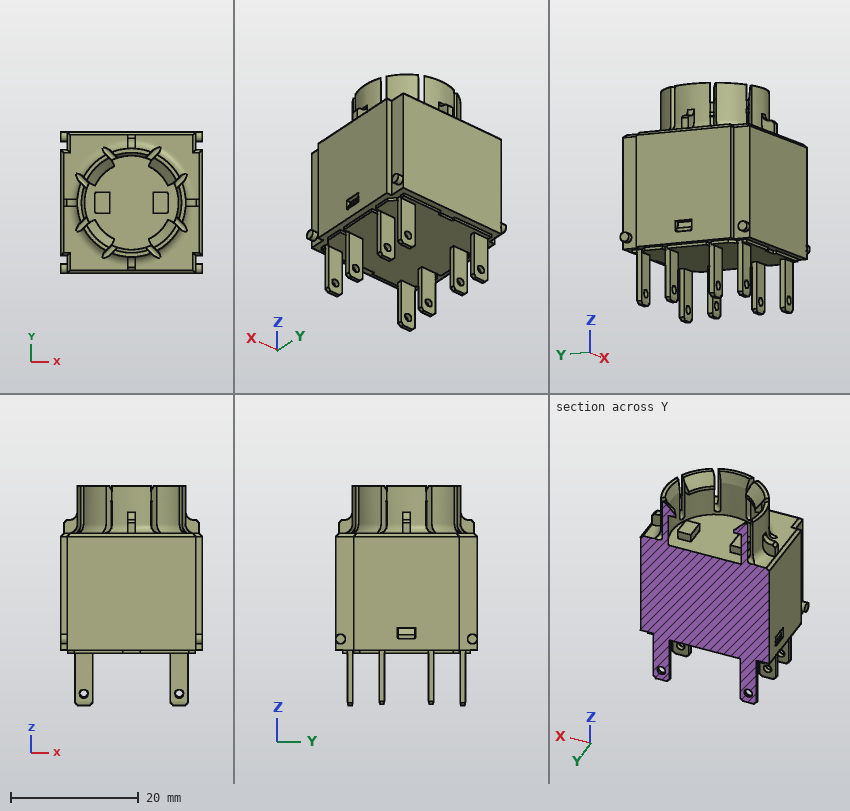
import cadquery as cq
import math

total_height = 34.45
housing_width = 22.2
housing_height = 18.3
edge_chamfer = 0.48
corner_notch_x = 1.0
corner_notch_y = 2.8

collar_height = 7.48
collar_radius = 8.5
bore_radius = 14.7 / 2
bore_sink = 0.5
root_fillet = 1.45
mouth_radius = 7.85
mouth_depth = 1.85
slot_width = 0.93
slot_offset = 2.95

tab_radius = 6.3
tab_lip_height = 0.55
tab_angle = 40.0

rib_width = 1.1
rib_height = 2.15
rib_fillet = 1.2

block_inner_x = 3.4
block_outer_x = 5.75
block_width = 3.3
block_height = 1.35
block_corner = 0.35

pin_diameter = 1.5
pin_height = 1.75

window_width = 2.82
window_height = 1.72
window_bottom = 1.83
window_corner = 0.25
window_depth = 0.8
latch_gap = 0.15
latch_inset = 0.25
latch_flat_height = 0.6

plate_width = 19.98
plate_thickness = 0.48
plate_chamfer = 1.0
plate_notch_width = 2.8
plate_notch_depth = 0.48

blade_width = 2.82
blade_thickness = 0.85
blade_x = 7.48
outer_blade_y = 8.82
inner_blade_y = 3.85
inner_blade_rise = 0.2
blade_hole_diameter = 1.3
blade_hole_above_tip = 1.83
blade_bevel_height = 0.62
blade_corner_chamfer = 0.48
blade_bevel_depth = 0.15

half_width = housing_width / 2
collar_top = housing_height + collar_height
blade_tip_z = collar_top - total_height
bore_floor = housing_height - bore_sink
rib_reach = half_width - edge_chamfer


def box_between(x_range, y_range, z_range):
    """Box spanning the given (low, high) ranges."""
    size = [high - low for low, high in (x_range, y_range, z_range)]
    corner = (x_range[0], y_range[0], z_range[0])
    return cq.Workplane("XY").box(*size, centered=False).translate(corner)


def revolve_profile(profile):
    """Turn a closed XZ profile around the Z axis."""
    return profile.close().revolve(360, (0, 0, 0), (0, 1, 0))


def make_housing():
    block = cq.Workplane("XY").rect(housing_width, housing_width).extrude(housing_height)
    notches = (
        cq.Workplane("XY")
        .rect(housing_width, housing_width, forConstruction=True)
        .vertices()
        .rect(2 * corner_notch_x, 2 * corner_notch_y)
        .extrude(housing_height)
    )
    return block.cut(notches).faces(">Z").chamfer(edge_chamfer)


def make_collar():
    """Solid collar with a concave fillet at its root."""
    fillet_mid = root_fillet * (1 - math.sqrt(0.5))
    profile = (
        cq.Workplane("XZ")
        .moveTo(0, bore_floor)
        .lineTo(collar_radius + root_fillet, bore_floor)
        .lineTo(collar_radius + root_fillet, housing_height)
        .threePointArc(
            (collar_radius + fillet_mid, housing_height + fillet_mid),
            (collar_radius, housing_height + root_fillet),
        )
        .lineTo(collar_radius, collar_top)
        .lineTo(0, collar_top)
    )
    return revolve_profile(profile)


def make_bore():
    """Bore with a mouth that widens towards the top."""
    profile = (
        cq.Workplane("XZ")
        .moveTo(0, bore_floor)
        .lineTo(bore_radius, bore_floor)
        .lineTo(bore_radius, collar_top - mouth_depth)
        .lineTo(mouth_radius, collar_top)
        .lineTo(0, collar_top)
    )
    return revolve_profile(profile)


def make_rib():
    """Rib on the +X side: chamfered outer corner, concave rise to the collar."""
    rib_top = housing_height + rib_height
    fillet_mid = rib_fillet * (1 - math.sqrt(0.5))
    buried_radius = (bore_radius + collar_radius) / 2
    return (
        cq.Workplane("XZ", origin=(0, rib_width / 2, 0))
        .moveTo(buried_radius, bore_floor)
        .lineTo(rib_reach, bore_floor)
        .lineTo(rib_reach, rib_top - edge_chamfer)
        .lineTo(rib_reach - edge_chamfer, rib_top)
        .lineTo(collar_radius + rib_fillet, rib_top)
        .threePointArc(
            (collar_radius + fillet_mid, rib_top + fillet_mid),
            (collar_radius, rib_top + rib_fillet),
        )
        .lineTo(buried_radius, rib_top + rib_fillet)
        .close()
        .extrude(rib_width)
    )


def make_tab():
    """Snap tab centred on +X: lead-in cone, short lip, flat underside."""
    buried_radius = (mouth_radius + collar_radius) / 2
    tab_underside = collar_top - mouth_depth - tab_lip_height
    return (
        cq.Workplane("XZ")
        .moveTo(mouth_radius, collar_top)
        .lineTo(tab_radius, collar_top - mouth_depth)
        .lineTo(tab_radius, tab_underside)
        .lineTo(buried_radius, tab_underside)
        .lineTo(buried_radius, collar_top)
        .close()
        .revolve(tab_angle, (0, 0, 0), (0, 1, 0))
        .rotate((0, 0, 0), (0, 0, 1), -tab_angle / 2)
    )


def make_slot(offset):
    """Round-bottomed slot along X, tangent to the housing top."""
    length = 2 * (collar_radius + root_fillet)
    floor_axis = housing_height + slot_width / 2
    straight = box_between(
        (-length / 2, length / 2),
        (offset - slot_width / 2, offset + slot_width / 2),
        (floor_axis, collar_top),
    )
    round_floor = (
        cq.Workplane("YZ", origin=(-length / 2, offset, floor_axis))
        .circle(slot_width / 2)
        .extrude(length)
    )
    return straight.union(round_floor)


def make_floor_block():
    """Block on the +X half of the bore floor."""
    block = box_between(
        (block_inner_x, block_outer_x),
        (-block_width / 2, block_width / 2),
        (bore_floor, bore_floor + block_height),
    )
    return block.edges("|Z and >X").fillet(block_corner)


def make_window():
    """Window pocket in the +X side, less the wedge-shaped latch inside it."""
    window_top = window_bottom + window_height
    pocket = box_between(
        (half_width - window_depth, half_width),
        (-window_width / 2, window_width / 2),
        (window_bottom, window_top),
    )
    pocket = pocket.edges("|X and <Z").fillet(window_corner)
    latch_width = window_width - 2 * latch_gap
    latch = (
        cq.Workplane("XZ", origin=(0, latch_width / 2, 0))
        .moveTo(half_width - window_depth, window_bottom)
        .lineTo(half_width - latch_inset, window_bottom)
        .lineTo(half_width - latch_inset, window_bottom + latch_flat_height)
        .lineTo(half_width - window_depth, window_top - latch_gap)
        .close()
        .extrude(latch_width)
    )
    return pocket.cut(latch)


def make_plate():
    """Base plate with stepped, chamfered corners and a notch in each Y edge.

    Channels run in from the X edges to the terminal blades.
    """
    half_plate = plate_width / 2
    shoulder_y = half_width - corner_notch_y
    quarter = (
        cq.Workplane("XY")
        .moveTo(0, 0)
        .lineTo(half_plate, 0)
        .lineTo(half_plate, shoulder_y - plate_chamfer)
        .lineTo(half_plate - plate_chamfer, shoulder_y)
        .lineTo(half_plate - plate_chamfer, half_plate)
        .lineTo(plate_notch_width / 2, half_plate)
        .lineTo(plate_notch_width / 2, half_plate - plate_notch_depth)
        .lineTo(0, half_plate - plate_notch_depth)
        .close()
        .extrude(-plate_thickness)
    )
    for y in (inner_blade_y, outer_blade_y):
        quarter = quarter.cut(
            box_between(
                (blade_x + blade_width / 2, half_plate),
                (y - blade_thickness / 2, y + blade_thickness / 2),
                (-plate_thickness, 0),
            )
        )
    half = quarter.union(quarter.mirror("YZ"))
    return half.union(half.mirror("XZ"))


def make_blade(x, y, tip_z):
    """Terminal blade: pierced end, chamfered corners and a tip bevelled on both flat sides."""
    half_thickness = blade_thickness / 2
    tip_half_thickness = half_thickness - blade_bevel_depth
    blade = (
        cq.Workplane("YZ", origin=(-blade_width / 2, 0, 0))
        .moveTo(-half_thickness, 0)
        .lineTo(-half_thickness, tip_z + blade_bevel_height)
        .lineTo(-tip_half_thickness, tip_z)
        .lineTo(tip_half_thickness, tip_z)
        .lineTo(half_thickness, tip_z + blade_bevel_height)
        .lineTo(half_thickness, 0)
        .close()
        .extrude(blade_width)
    )
    chamfered_strip = box_between(
        (-blade_width / 2, blade_width / 2),
        (-half_thickness, half_thickness),
        (tip_z, 0),
    )
    chamfered_strip = chamfered_strip.edges("|Y and <Z").chamfer(blade_corner_chamfer)
    hole = (
        cq.Workplane("XZ", origin=(0, 0, tip_z + blade_hole_above_tip))
        .circle(blade_hole_diameter / 2)
        .extrude(blade_thickness, both=True)
    )
    return blade.intersect(chamfered_strip).cut(hole).translate((x, y, 0))


def turn(shape, angle):
    return shape.rotate((0, 0, 0), (0, 0, 1), angle)


collar = make_collar()
for quarter_turn in range(4):
    collar = collar.union(turn(make_rib(), 90 * quarter_turn))
result = make_housing().union(collar).cut(make_bore())
for quarter_turn in range(4):
    result = result.union(turn(make_tab(), 45 + 90 * quarter_turn))
for diagonal in (45, 135):
    for offset in (-slot_offset, slot_offset):
        result = result.cut(turn(make_slot(offset), diagonal))

for half_turn in (0, 180):
    result = result.union(turn(make_floor_block(), half_turn))
    result = result.cut(turn(make_window(), half_turn))

for side in (-1, 1):
    pin_y = side * (half_width - pin_diameter / 2)
    pin = (
        cq.Workplane("YZ", origin=(-half_width, pin_y, pin_height))
        .circle(pin_diameter / 2)
        .extrude(housing_width)
    )
    result = result.union(pin)

result = result.union(make_plate())
for x in (-blade_x, blade_x):
    for side in (-1, 1):
        result = result.union(make_blade(x, side * outer_blade_y, blade_tip_z))
        result = result.union(make_blade(x, side * inner_blade_y, blade_tip_z + inner_blade_rise))